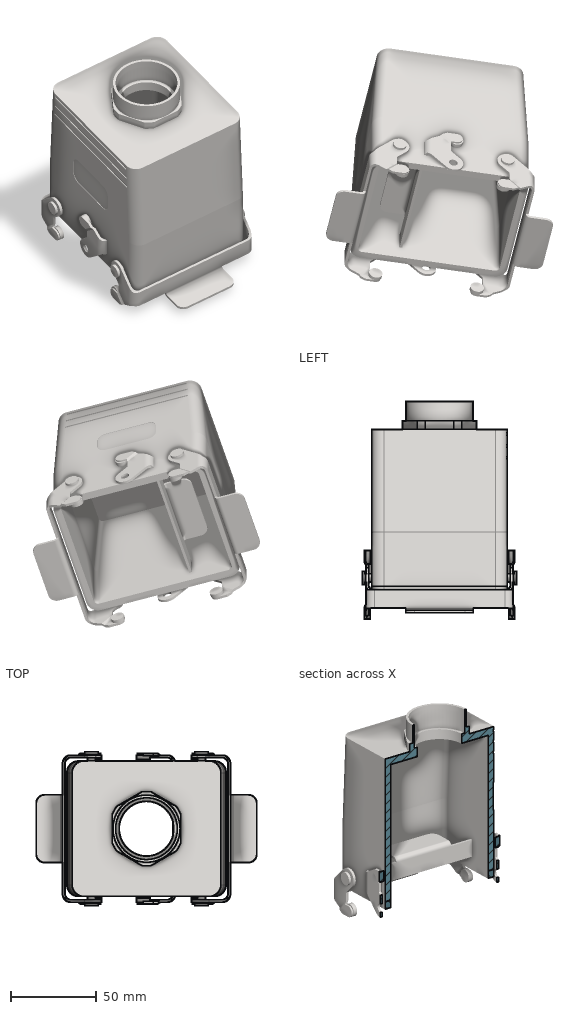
import cadquery as cq
import math

overall_length = 129.5
overall_width = 90.4
overall_height = 127.7

seal_bottom_z = 14.5
seal_height = 4.7
hood_bottom_z = seal_bottom_z + seal_height
taper_start_z = 51.3
hood_top_z = 111.2
hood_length = 93.5
hood_top_length = 87.3
hood_width = 79.5
corner_radius = 7.0
wall = 4.5
roof = 4.9

collar_diameter = 39.4
collar_bore = 36.3
entry_bore = 32.0
hex_flats = 40.1
hex_half_sector = 30
hex_corners = hex_flats / math.cos(math.radians(hex_half_sector))
hex_round_diameter = 43.5
hex_height = 5.0
collar_bore_floor_height = 1.4
collar_bore_floor_z = hood_top_z + collar_bore_floor_height

groove_count = 3
groove_height = 1.4
groove_depth = 0.5
groove_pitch = 7.0
first_groove_drop = 2.0
badge_length = 35.6
badge_height = 18.0
badge_radius = 5.0
badge_depth = 0.3
badge_z = 66.4

lever_pivot_x = 32.2
lever_pivot_z = 24.1
middle_pivot_z = 16.2
pin_diameter = 4.9
pin_head_diameter = 8.0
pin_head_thickness = 1.5

sheet = 1.5
lever_width = 86.4
bridge_offset = 17.1
bend_radius = 5.0
eye_radius = 6.0
eye_hole = 5.0
bridge_top_z = -6.9
bridge_bottom_z = -17.7
arm_edge_x = -1.4
hook_x = 2.0
hook_z = -20.6
hook_radius = 3.5
lower_edge_angle = 30
lower_edge_end_x = -3.9
fold_start = 9.8
fold_length = sheet
hook_step = 1.0
button_radius = 4.0
button_z = -20.1
button_thickness = 2.6
tab_reach = overall_length / 2 - lever_pivot_x
tab_width = 39.9
tab_corner_radius = 5.0
tab_bend_diameter = 2.5


def hood_form(inset, bottom_z, top_z):
    """Tapered hood block with rounded upright corners, shrunk by `inset` on every side."""
    half_base = hood_length / 2 - inset
    taper = (hood_length - hood_top_length) / 2 / (hood_top_z - taper_start_z)
    half_top = half_base - taper * (top_z - taper_start_z)
    outline = [
        (-half_base, bottom_z),
        (half_base, bottom_z),
        (half_base, taper_start_z),
        (half_top, top_z),
        (-half_top, top_z),
        (-half_base, taper_start_z),
    ]
    form = cq.Workplane("XZ").polyline(outline).close().extrude(hood_width / 2 - inset, both=True)
    return form.edges("not(#Z or |Y)").fillet(corner_radius - inset)


def upright_cylinder(diameter, bottom_z, top_z):
    return cq.Workplane("XY", origin=(0, 0, bottom_z)).circle(diameter / 2).extrude(top_z - bottom_z)


def cable_entry():
    """Rounded hexagon with a round collar above it."""
    hexagon = (
        cq.Workplane("XY", origin=(0, 0, hood_top_z))
        .transformed(rotate=(0, 0, hex_half_sector))
        .polygon(6, hex_corners)
        .extrude(hex_height)
    )
    hexagon = hexagon.intersect(upright_cylinder(hex_round_diameter, hood_top_z, overall_height))
    return hexagon.union(upright_cylinder(collar_diameter, hood_top_z, overall_height))


def front_grooves():
    """Shallow horizontal grooves that span the flat part of the front wall."""
    taper = (hood_length - hood_top_length) / (hood_top_z - taper_start_z)
    grooves = cq.Workplane("XY")
    for index in range(groove_count):
        drop = first_groove_drop + index * groove_pitch + groove_height / 2
        length = hood_top_length + taper * drop - 2 * corner_radius
        grooves = grooves.union(
            cq.Workplane("XY", origin=(0, -hood_width / 2, hood_top_z - drop))
            .box(length, 2 * groove_depth, groove_height)
        )
    return grooves


def badge_recess():
    badge = cq.Workplane("XY", origin=(0, -hood_width / 2, badge_z))
    return badge.box(badge_length, 2 * badge_depth, badge_height).edges("|Y").fillet(badge_radius)


def pivot_pin(x, side):
    """Pin with a flat head; `side` is +1 for the +Y wall and -1 for the -Y wall."""
    inner_y = hood_width / 2 - wall / 2
    plane = cq.Plane(origin=(x, side * inner_y, lever_pivot_z), xDir=(1, 0, 0), normal=(0, side, 0))
    shank_length = overall_width / 2 - pin_head_thickness - inner_y
    shank = cq.Workplane(plane).circle(pin_diameter / 2).extrude(shank_length)
    head = (
        cq.Workplane(plane).workplane(offset=shank_length)
        .circle(pin_head_diameter / 2).extrude(pin_head_thickness)
    )
    return shank.union(head)


def build_housing(middle_lever):
    housing = hood_form(0, hood_bottom_z, hood_top_z).union(cable_entry())
    housing = housing.cut(hood_form(wall, hood_bottom_z, hood_top_z - roof))
    housing = housing.cut(upright_cylinder(entry_bore, hood_bottom_z, collar_bore_floor_z))
    housing = housing.cut(upright_cylinder(collar_bore, collar_bore_floor_z, overall_height))
    housing = housing.cut(front_grooves()).cut(badge_recess())
    for x in (-lever_pivot_x, lever_pivot_x):
        for side in (-1, 1):
            housing = housing.union(pivot_pin(x, side))
    return housing.cut(middle_lever)


def build_seal():
    ring = hood_form(0, seal_bottom_z, hood_top_z).cut(hood_form(wall, seal_bottom_z, hood_top_z))
    below_hood = cq.Workplane("XY", origin=(0, 0, seal_bottom_z)).rect(2 * hood_length, 2 * hood_width)
    return ring.intersect(below_hood.extrude(seal_height))


def lever_profile():
    """Side outline of the lever: eye, slanted arm, bridge and hook, as a block along Y."""
    diagonal = eye_radius / math.sqrt(2)
    offset = eye_radius * math.sqrt(2)
    hook_bottom = hook_z - hook_radius
    rise = bridge_bottom_z - hook_bottom
    lower_edge_start_x = lower_edge_end_x - rise / math.tan(math.radians(lower_edge_angle))
    return (
        cq.Workplane("XZ")
        .moveTo(-diagonal, diagonal)
        .lineTo(bridge_top_z - offset, bridge_top_z)
        .lineTo(-bridge_offset, bridge_top_z)
        .lineTo(-bridge_offset, bridge_bottom_z)
        .lineTo(lower_edge_start_x, bridge_bottom_z)
        .lineTo(lower_edge_end_x, hook_bottom)
        .lineTo(hook_x, hook_bottom)
        .threePointArc((hook_x + hook_radius, hook_z), (hook_x, hook_z + hook_radius))
        .lineTo(arm_edge_x, hook_z + hook_radius)
        .lineTo(arm_edge_x, arm_edge_x - offset)
        .lineTo(diagonal, -diagonal)
        .threePointArc((diagonal, diagonal), (-diagonal, diagonal))
        .close()
        .extrude(lever_width, both=True)
    )


def bent_strip():
    """U-shaped sheet seen from above, taller than the lever."""
    reach = 2 * bridge_offset
    height = 4 * bridge_offset

    def block(inset):
        return (
            cq.Workplane("XY")
            .box(2 * reach, lever_width - 2 * inset, height)
            .translate((reach - bridge_offset + inset, 0, 0))
            .edges("|Z and <X").fillet(bend_radius - inset)
        )

    return block(0).cut(block(sheet))


def fold_plane():
    """Plane whose x axis runs down the arm towards the hook and whose y axis is Y."""
    return cq.Plane(origin=(0, 0, 0), xDir=(1, 0, -1), normal=(1, 0, 1))


def stepped_hook():
    """Sheet that steps outwards across a diagonal fold, on the +Y side."""
    outer = lever_width / 2
    inner = outer - sheet
    fold_end = fold_start + fold_length
    tip = 2 * bridge_offset
    section = [
        (fold_start, inner),
        (fold_end, inner + hook_step),
        (tip, inner + hook_step),
        (tip, outer + hook_step),
        (fold_end, outer + hook_step),
        (fold_start, outer),
    ]
    return cq.Workplane(fold_plane()).polyline(section).close().extrude(tip, both=True)


def hook_button():
    """Round disc behind the hook, level with the outer face of the leg, on the +Y side."""
    plane = cq.Plane(origin=(hook_x, lever_width / 2, button_z), xDir=(1, 0, 0), normal=(0, -1, 0))
    return cq.Workplane(plane).circle(button_radius).extrude(button_thickness)


def finger_tab():
    """Tab that curls outwards from the lower edge of the bridge."""
    inner_radius = tab_bend_diameter / 2
    outer_radius = inner_radius + sheet
    bend_x = -bridge_offset - inner_radius
    top_z = bridge_bottom_z - inner_radius
    bottom_z = bridge_bottom_z - outer_radius
    diagonal = math.sqrt(0.5)
    tab = (
        cq.Workplane("XZ")
        .moveTo(-bridge_offset, bridge_bottom_z)
        .threePointArc(
            (bend_x + inner_radius * diagonal, bridge_bottom_z - inner_radius * diagonal), (bend_x, top_z)
        )
        .lineTo(-tab_reach, top_z)
        .lineTo(-tab_reach, bottom_z)
        .lineTo(bend_x, bottom_z)
        .threePointArc(
            (bend_x + outer_radius * diagonal, bridge_bottom_z - outer_radius * diagonal),
            (bend_x + outer_radius, bridge_bottom_z),
        )
        .close()
        .extrude(tab_width / 2, both=True)
    )
    return tab.edges("|Z and <X").fillet(tab_corner_radius)


def build_lever():
    """One lever: a bent strip with two hooked legs and a finger tab."""
    profile = lever_profile()
    lever = bent_strip().intersect(profile)
    beyond_fold = (
        cq.Workplane(fold_plane())
        .rect(fold_start * 2, 2 * lever_width)
        .extrude(2 * bridge_offset, both=True)
    )
    beyond_fold = beyond_fold.translate((fold_start * math.sqrt(2), 0, -fold_start * math.sqrt(2)))
    lever = lever.cut(beyond_fold)
    hook = stepped_hook().intersect(profile).union(hook_button())
    lever = lever.union(hook).union(hook.mirror("XZ")).union(finger_tab())
    eye = cq.Workplane("XZ").circle(eye_hole / 2).extrude(lever_width, both=True)
    return lever.cut(eye)


lever = build_lever()
left_lever = lever.translate((-lever_pivot_x, 0, lever_pivot_z))
right_lever = left_lever.mirror("YZ")
middle_lever = lever.rotate((0, 0, 0), (0, 1, 0), 180).translate((0, 0, middle_pivot_z))
housing = build_housing(middle_lever)
seal = build_seal()

result = cq.Compound.makeCompound(
    [body.solids().val() for body in (housing, seal, left_lever, right_lever, middle_lever)]
)